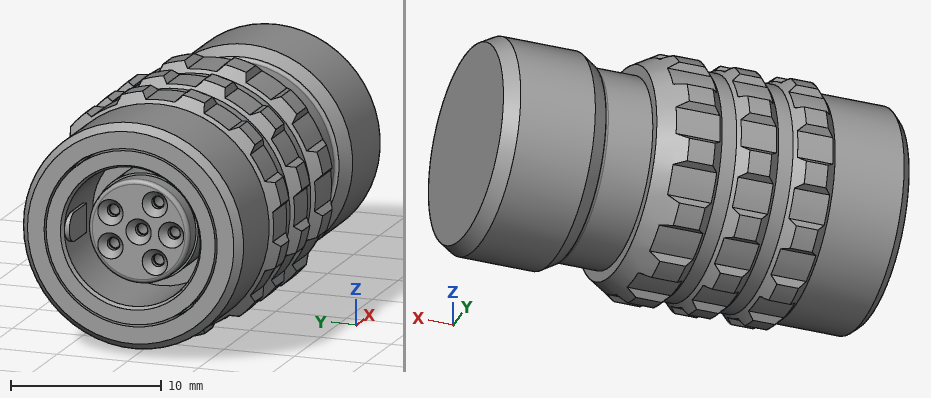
import cadquery as cq
import math

LENGTH = 28.8

SLEEVE_LENGTH = 18.03
SLEEVE_RADIUS = 7.8
SLEEVE_FRONT_RADIUS = 7.32
SLEEVE_CHAMFER_LENGTH = 0.55
SLEEVE_REAR_RADIUS = 7.37

RING_COUNT = 3
RING_START = 5.47
RING_PITCH = 4.03
TOOTH_TIP_RADIUS = 8.5
TOOTH_TIP_LENGTH = 1.55
TOOTH_END_SLOPE = 0.72
LAST_TOOTH_TIP_LENGTH = 1.85
TOOTH_COUNT = 12
GAP_FLOOR_RADIUS = 8.04
GAP_FLOOR_WIDTH = 2.05

TUBE_RADIUS = 6.0
NECK_RADIUS = 6.62
NECK_FILLET = 0.25
SHOULDER_X = 21.45
REAR_RADIUS = 7.5
REAR_CHAMFER_LENGTH = 1.0
REAR_CHAMFER_HEIGHT = 0.58
SHELL_FIT_CLEARANCE = 0.15
CLEARANCE_DEPTH = 1.45

RECESS_RADIUS = 4.8
RECESS_DEPTH = 5.75
RECESS_CHAMFER_HEIGHT = 0.17
RECESS_CHAMFER_LENGTH = 0.3
KEY_WIDTH = 2.02
KEY_FLAT_Y = 4.45
KEY_START = 0.32
KEY_END = 3.63

INSERT_BASE_RADIUS = 3.72
INSERT_BASE_HEIGHT = 2.88
INSERT_FRONT_RADIUS = 3.57
INSERT_FACE_X = 1.53
INSERT_ROUNDING = 0.3
CONTACT_CIRCLE_RADIUS = 2.3
CONTACT_ANGLES = [30, 120, 180, 240, 330]
CONTACT_ENTRY_RADIUS = 0.43
CONTACT_ENTRY_LENGTH = 0.35
CONTACT_BORE_RADIUS = 0.37
CONTACT_HOLE_DEPTH = 2.3
COUNTERSINK_RADIUS = 0.9
COUNTERSINK_DEPTH = 0.58


def revolve_about_x(sketch):
    """Turn a closed XY outline, with Y as the radius, about the X axis."""
    return sketch.close().revolve(360, (0, 0, 0), (1, 0, 0))


def cylinder_x(start, end, radius):
    return cq.Workplane("YZ").workplane(offset=start).circle(radius).extrude(end - start)


def grip_ring(start):
    """A ring that rises to the tooth tips with a slope at each end."""
    tip_start = start + TOOTH_END_SLOPE
    tip_end = tip_start + TOOTH_TIP_LENGTH
    outline = (
        cq.Workplane("XY")
        .moveTo(start, TUBE_RADIUS)
        .lineTo(start, SLEEVE_RADIUS)
        .lineTo(tip_start, TOOTH_TIP_RADIUS)
        .lineTo(tip_end, TOOTH_TIP_RADIUS)
        .lineTo(tip_end + TOOTH_END_SLOPE, SLEEVE_RADIUS)
        .lineTo(tip_end + TOOTH_END_SLOPE, TUBE_RADIUS)
    )
    return revolve_about_x(outline)


def sleeve_blank():
    """Sleeve without tooth gaps; its last ring tapers down to the rear face."""
    last_start = RING_START + (RING_COUNT - 1) * RING_PITCH
    last_tip_start = last_start + TOOTH_END_SLOPE
    outline = (
        cq.Workplane("XY")
        .moveTo(0, TUBE_RADIUS)
        .lineTo(0, SLEEVE_FRONT_RADIUS)
        .lineTo(SLEEVE_CHAMFER_LENGTH, SLEEVE_RADIUS)
        .lineTo(last_start, SLEEVE_RADIUS)
        .lineTo(last_tip_start, TOOTH_TIP_RADIUS)
        .lineTo(last_tip_start + LAST_TOOTH_TIP_LENGTH, TOOTH_TIP_RADIUS)
        .lineTo(SLEEVE_LENGTH, SLEEVE_REAR_RADIUS)
        .lineTo(SLEEVE_LENGTH, TUBE_RADIUS)
    )
    blank = revolve_about_x(outline)
    for i in range(RING_COUNT - 1):
        blank = blank.union(grip_ring(RING_START + i * RING_PITCH))
    return blank


def tooth_gap(angle):
    """Cutter along the sleeve with a round floor and 45 degree sides."""
    half_floor = GAP_FLOOR_WIDTH / 2
    floor_edge_z = math.sqrt(GAP_FLOOR_RADIUS**2 - half_floor**2)
    half_mouth = half_floor + TOOTH_TIP_RADIUS - floor_edge_z
    return (
        cq.Workplane("YZ")
        .moveTo(-half_floor, floor_edge_z)
        .threePointArc((0, GAP_FLOOR_RADIUS), (half_floor, floor_edge_z))
        .lineTo(half_mouth, TOOTH_TIP_RADIUS)
        .lineTo(-half_mouth, TOOTH_TIP_RADIUS)
        .close()
        .extrude(SLEEVE_LENGTH)
        .rotate((0, 0, 0), (1, 0, 0), angle)
    )


def make_sleeve():
    sleeve = sleeve_blank()
    for i in range(TOOTH_COUNT):
        sleeve = sleeve.cut(tooth_gap(i * 360 / TOOTH_COUNT))
    return sleeve.cut(cylinder_x(0, CLEARANCE_DEPTH, TUBE_RADIUS + SHELL_FIT_CLEARANCE))


def shell_blank():
    """Front tube, neck with a filleted shoulder, and the chamfered rear."""
    chamfered_radius = REAR_RADIUS - REAR_CHAMFER_HEIGHT
    fillet_start = SHOULDER_X - NECK_FILLET
    fillet_centre_radius = NECK_RADIUS + NECK_FILLET
    fillet_mid = NECK_FILLET * math.sqrt(0.5)
    outline = (
        cq.Workplane("XY")
        .moveTo(0, 0)
        .lineTo(0, TUBE_RADIUS)
        .lineTo(SLEEVE_LENGTH, TUBE_RADIUS)
        .lineTo(SLEEVE_LENGTH, NECK_RADIUS)
        .lineTo(fillet_start, NECK_RADIUS)
        .threePointArc(
            (fillet_start + fillet_mid, fillet_centre_radius - fillet_mid),
            (SHOULDER_X, fillet_centre_radius),
        )
        .lineTo(SHOULDER_X + REAR_CHAMFER_LENGTH, REAR_RADIUS)
        .lineTo(LENGTH - REAR_CHAMFER_LENGTH, REAR_RADIUS)
        .lineTo(LENGTH, chamfered_radius)
        .lineTo(LENGTH, 0)
    )
    return revolve_about_x(outline)


def recess():
    outline = (
        cq.Workplane("XY")
        .moveTo(0, 0)
        .lineTo(0, RECESS_RADIUS + RECESS_CHAMFER_HEIGHT)
        .lineTo(RECESS_CHAMFER_LENGTH, RECESS_RADIUS)
        .lineTo(RECESS_DEPTH, RECESS_RADIUS)
        .lineTo(RECESS_DEPTH, 0)
    )
    return revolve_about_x(outline)


def key():
    """Rib on the +Y side of the recess, flat on the inside, round in front and square behind."""
    half_width = KEY_WIDTH / 2
    wall_middle_radius = (RECESS_RADIUS + TUBE_RADIUS) / 2
    outline = (
        cq.Workplane("XZ", origin=(0, KEY_FLAT_Y, 0))
        .moveTo(KEY_END, -half_width)
        .lineTo(KEY_START + half_width, -half_width)
        .threePointArc((KEY_START, 0), (KEY_START + half_width, half_width))
        .lineTo(KEY_END, half_width)
        .close()
    )
    rib = outline.extrude(KEY_FLAT_Y - wall_middle_radius)
    return rib.intersect(cylinder_x(0, KEY_END, wall_middle_radius))


def contact_hole(y, z):
    """Countersunk blind hole in the insert face, with a short entry wider than its bore."""
    entry_start = INSERT_FACE_X + COUNTERSINK_DEPTH
    entry_end = entry_start + CONTACT_ENTRY_LENGTH
    hole_end = INSERT_FACE_X + CONTACT_HOLE_DEPTH
    outline = (
        cq.Workplane("XY")
        .moveTo(INSERT_FACE_X, 0)
        .lineTo(INSERT_FACE_X, COUNTERSINK_RADIUS)
        .lineTo(entry_start, CONTACT_ENTRY_RADIUS)
        .lineTo(entry_end, CONTACT_ENTRY_RADIUS)
        .lineTo(entry_end, CONTACT_BORE_RADIUS)
        .lineTo(hole_end, CONTACT_BORE_RADIUS)
        .lineTo(hole_end, 0)
    )
    return revolve_about_x(outline).translate((0, y, z))


def insert_blank():
    """Post with a rounded front edge and a slightly wider base on the recess floor."""
    face_radius = INSERT_FRONT_RADIUS - INSERT_ROUNDING
    rounding_end = INSERT_FACE_X + INSERT_ROUNDING
    base_x = RECESS_DEPTH - INSERT_BASE_HEIGHT
    rounding_mid = INSERT_ROUNDING * math.sqrt(0.5)
    outline = (
        cq.Workplane("XY")
        .moveTo(INSERT_FACE_X, 0)
        .lineTo(INSERT_FACE_X, face_radius)
        .threePointArc(
            (rounding_end - rounding_mid, face_radius + rounding_mid),
            (rounding_end, INSERT_FRONT_RADIUS),
        )
        .lineTo(base_x, INSERT_FRONT_RADIUS)
        .lineTo(base_x, INSERT_BASE_RADIUS)
        .lineTo(RECESS_DEPTH, INSERT_BASE_RADIUS)
        .lineTo(RECESS_DEPTH, 0)
    )
    return revolve_about_x(outline)


def contact_insert():
    insert = insert_blank().cut(contact_hole(0, 0))
    for degrees in CONTACT_ANGLES:
        angle = math.radians(degrees)
        y = CONTACT_CIRCLE_RADIUS * math.cos(angle)
        z = CONTACT_CIRCLE_RADIUS * math.sin(angle)
        insert = insert.cut(contact_hole(y, z))
    return insert


def make_shell():
    return shell_blank().cut(recess()).union(key()).union(contact_insert())


sleeve = make_sleeve()
shell = make_shell()

result = cq.Compound.makeCompound([sleeve.val(), shell.val()])